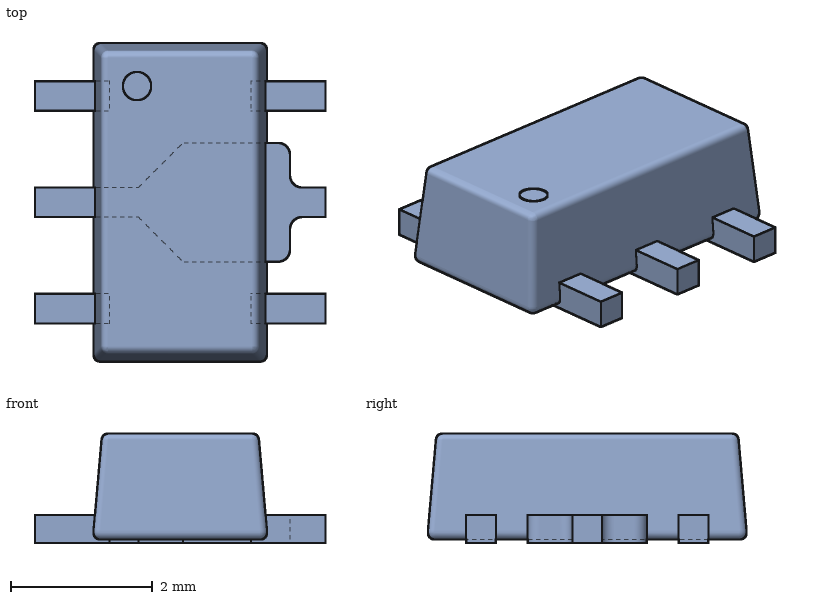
import cadquery as cq

overall_length = 4.1
body_length_x = 2.45
body_width_y = 4.5
overall_height = 1.55
standoff = 0.05
rim_height = 0.125
draft_angle = 5.0
edge_radius = 0.1

lead_width = 0.42
lead_thickness = 0.4
lead_pitch = 1.5
lead_inner_x = 1.0

tab_width = 1.68
tab_end_x = 1.55
tab_start_x = 0.04
tab_corner_radius = 0.17

mark_diameter = 0.4
mark_x = -0.61
mark_y = 1.64
mark_depth = 0.01

lead_tip_x = overall_length / 2
tab_half = tab_width / 2
lead_half = lead_width / 2
rim_top = standoff + rim_height


def make_body():
    """Moulded body: a drafted block standing on a straight rim, all outer edges rounded."""
    block = (
        cq.Workplane("XY")
        .workplane(offset=rim_top)
        .rect(body_length_x, body_width_y)
        .extrude(overall_height - rim_top, taper=draft_angle)
        .edges("not(#Z)")
        .fillet(edge_radius)
    )
    body = block.faces("<Z").wires().toPending().workplane().extrude(rim_height)
    return body.faces("<Z or >Z").edges().fillet(edge_radius)


def make_outer_leads():
    """Four straight leads, two on each side of the body."""
    lead_length = lead_tip_x - lead_inner_x
    lead_centre_x = (lead_tip_x + lead_inner_x) / 2
    return (
        cq.Workplane("XY")
        .rarray(2 * lead_centre_x, 2 * lead_pitch, 2, 2)
        .rect(lead_length, lead_width)
        .extrude(lead_thickness)
    )


def make_tab():
    """Middle lead running right through, widening at 45 degrees into the tab."""
    taper_start_x = tab_start_x - (tab_half - lead_half)
    lead = cq.Workplane("XY").rect(overall_length, lead_width).extrude(lead_thickness)
    spreader = (
        cq.Workplane("XY")
        .moveTo(taper_start_x, -lead_half)
        .lineTo(tab_start_x, -tab_half)
        .lineTo(tab_end_x, -tab_half)
        .lineTo(tab_end_x, tab_half)
        .lineTo(tab_start_x, tab_half)
        .lineTo(taper_start_x, lead_half)
        .close()
        .extrude(lead_thickness)
    )
    tab = lead.union(spreader)
    shoulder_edges = cq.selectors.BoxSelector(
        (tab_end_x - tab_corner_radius, -tab_width, 0),
        (tab_end_x + tab_corner_radius, tab_width, lead_thickness),
    )
    return tab.edges("|Z").edges(shoulder_edges).fillet(tab_corner_radius)


def cut_pin_mark(part):
    """Shallow round recess in the top face beside pin 1."""
    recess = (
        cq.Workplane("XY")
        .workplane(offset=overall_height - mark_depth)
        .center(mark_x, mark_y)
        .circle(mark_diameter / 2)
        .extrude(mark_depth)
    )
    return part.cut(recess)


package = make_body().union(make_outer_leads()).union(make_tab())
result = cut_pin_mark(package)